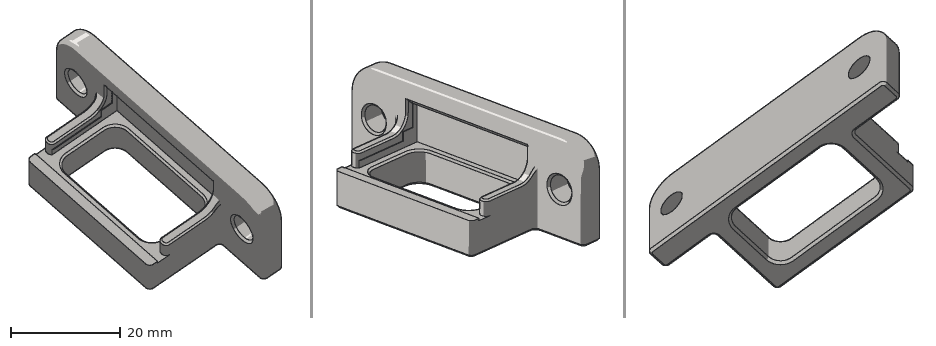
import cadquery as cq
import math

ARC_MID_INSET = 1 - math.sqrt(0.5)
TOLERANCE = 0.1

plate_length = 57.95
plate_thickness = 5.0
plate_height = 20.0
plate_corner_radius = 6.0
edge_radius = 1.0
base_chamfer = 0.5

hole_diameter = 5.3
hole_offset = 23.0
hole_height = 10.0
hole_chamfer = 0.45

total_depth = 22.25
bracket_half_width = 17.0
floor_height = 7.0
lip_height = 7.5
lip_thickness = 2.0

arm_thickness = 2.2
arm_height = 10.3
arm_end = 18.25
arm_root_radius = 3.65
arm_chamfer = 0.35
arm_inner = bracket_half_width - arm_thickness
arm_middle = bracket_half_width - arm_thickness / 2
arm_root_y = -plate_thickness - arm_root_radius
arm_root_top = arm_height + arm_root_radius

window_half_width = 13.2
window_back = 3.65
window_front = 18.65
window_radius = 3.0
window_chamfer = 0.4

recess_back = 2.0
recess_bend = 3.95
recess_mouth_height = 16.65
recess_bend_height = 15.6
recess_back_height = 15.2
jamb_top = (recess_mouth_height + plate_height) / 2

relief_depth = 0.2
relief_low_height = 8.5
relief_high_height = 10.4
relief_low_back = 5.95
relief_high_back = 3.3


def make_plate():
    """Plate with rounded upper corners and rounded rims, apart from the underside."""
    plate = (
        cq.Workplane("XY")
        .box(plate_length, plate_thickness, plate_height, centered=(True, False, False))
        .translate((0, -plate_thickness, 0))
    )
    plate = plate.edges("|Y and >Z").fillet(plate_corner_radius)
    rims = plate.faces("<Y or >Y").edges("not <Z")
    return rims.fillet(edge_radius)


def make_bracket_plan():
    """Bracket footprint, flaring where it meets the plate, as a tall block."""
    flare = bracket_half_width + edge_radius
    half_width = bracket_half_width
    flare_start = -plate_thickness - edge_radius
    root = -recess_back
    arc_mid = edge_radius * ARC_MID_INSET
    return (
        cq.Workplane("XY")
        .moveTo(-flare, root)
        .lineTo(-flare, -plate_thickness)
        .threePointArc(
            (-half_width - arc_mid, -plate_thickness - arc_mid), (-half_width, flare_start)
        )
        .lineTo(-half_width, -total_depth)
        .lineTo(half_width, -total_depth)
        .lineTo(half_width, flare_start)
        .threePointArc(
            (half_width + arc_mid, -plate_thickness - arc_mid), (flare, -plate_thickness)
        )
        .lineTo(flare, root)
        .close()
        .extrude(plate_height)
        .edges("|Z and <Y")
        .fillet(edge_radius)
    )


def make_bracket_profile():
    """Side profile of floor and lip, swept across the whole width."""
    return (
        cq.Workplane("YZ")
        .polyline([
            (0, 0),
            (0, floor_height),
            (lip_thickness - total_depth, floor_height),
            (lip_thickness - total_depth, lip_height),
            (-total_depth, lip_height),
            (-total_depth, 0),
        ])
        .close()
        .extrude(plate_length / 2, both=True)
    )


def make_block(x_range, y_range, z_range):
    """Axis-aligned block between the given limits."""
    sizes = [high - low for low, high in (x_range, y_range, z_range)]
    corner = (x_range[0], y_range[0], z_range[0])
    return cq.Workplane("XY").box(*sizes, centered=False).translate(corner)


def make_arm_profile(root_back, root_top):
    """Side view of an arm, curving up into a root that reaches back to root_back."""
    arc_mid = arm_root_radius * ARC_MID_INSET
    profile = (
        cq.Workplane("YZ", origin=(arm_inner, 0, 0))
        .moveTo(root_back, 0)
        .lineTo(-arm_end, 0)
        .lineTo(-arm_end, arm_height)
        .lineTo(arm_root_y, arm_height)
        .threePointArc((-plate_thickness - arc_mid, arm_height + arc_mid), (-plate_thickness, arm_root_top))
    )
    if root_top > arm_root_top:
        profile = profile.lineTo(-plate_thickness, root_top)
    if root_back > -plate_thickness:
        profile = profile.lineTo(root_back, root_top)
    return profile.close()


def chamfer_arm_top(arm):
    """Chamfer the top rim, starting from its inner edge and following it round."""
    flat_middle = (arm_root_y - arm_end + edge_radius) / 2
    inner_edge = cq.selectors.NearestToPointSelector((arm_inner, flat_middle, arm_height))
    return arm.edges(inner_edge).chamfer(arm_chamfer)


def make_arm(plan):
    """Right-hand arm: the outer half blends into the plate, the inner half lines the recess."""
    outer = plan.intersect(make_arm_profile(-plate_thickness, arm_root_top).extrude(plate_length))
    outer = outer.edges("|Z and <Y").fillet(edge_radius)
    inner_side = make_block((0, arm_middle), (-total_depth, 0), (0, plate_height))
    outer = chamfer_arm_top(outer).cut(inner_side)

    inner = make_arm_profile(-recess_back, jamb_top).extrude(arm_thickness / 2)
    inner = inner.edges("|Z and <Y and <X").fillet(edge_radius)
    inner = chamfer_arm_top(inner)
    return outer.union(inner)


def make_recess():
    """Pocket in the plate, as wide as the middles of the arms whose inner halves line it."""
    return (
        cq.Workplane("YZ")
        .polyline([
            (-recess_back, floor_height),
            (-recess_back, recess_back_height),
            (-recess_bend, recess_bend_height),
            (-plate_thickness, recess_mouth_height),
            (-plate_thickness, floor_height),
        ])
        .close()
        .extrude(arm_middle, both=True)
    )


def make_relief():
    """Stepped clearance that widens the space between the arms slightly."""
    return (
        cq.Workplane("YZ")
        .polyline([
            (-recess_back, floor_height),
            (-recess_back, recess_back_height),
            (-relief_high_back, recess_back_height),
            (-relief_high_back, relief_high_height),
            (-relief_low_back, relief_high_height),
            (-relief_low_back, relief_low_height),
            (-arm_end, relief_low_height),
            (-arm_end, floor_height),
        ])
        .close()
        .extrude(arm_inner + relief_depth, both=True)
    )


def make_window():
    """Rounded window through the bracket floor."""
    return (
        cq.Workplane("XY")
        .center(0, -(window_front + window_back) / 2)
        .rect(2 * window_half_width, window_front - window_back)
        .extrude(floor_height)
        .edges("|Z")
        .fillet(window_radius)
    )


def make_screw_holes():
    """Two through holes, countersunk slightly at the front face."""
    hole_centres = [(-hole_offset, hole_height), (hole_offset, hole_height)]
    front = cq.Workplane("XZ", origin=(0, -plate_thickness, 0)).pushPoints(hole_centres)
    bores = front.circle(hole_diameter / 2).extrude(-plate_thickness)
    rims = (
        front.circle(hole_diameter / 2 + hole_chamfer)
        .extrude(-hole_chamfer, taper=45)
    )
    return bores.union(rims)


plan = make_bracket_plan()
floor = plan.intersect(make_bracket_profile())
arm = make_arm(plan)
result = make_plate().union(floor).cut(make_recess())
result = result.union(arm).union(arm.mirror("YZ"))
result = result.cut(make_relief())
result = result.cut(make_window())
window_rim = cq.selectors.BoxSelector(
    (-window_half_width - 0.05, -window_front - 0.05, floor_height - 0.05),
    (window_half_width + 0.05, -window_back + 0.05, floor_height + 0.05),
)
result = result.edges(window_rim).chamfer(window_chamfer)
result = result.faces("<Z").chamfer(base_chamfer)
result = result.cut(make_screw_holes())